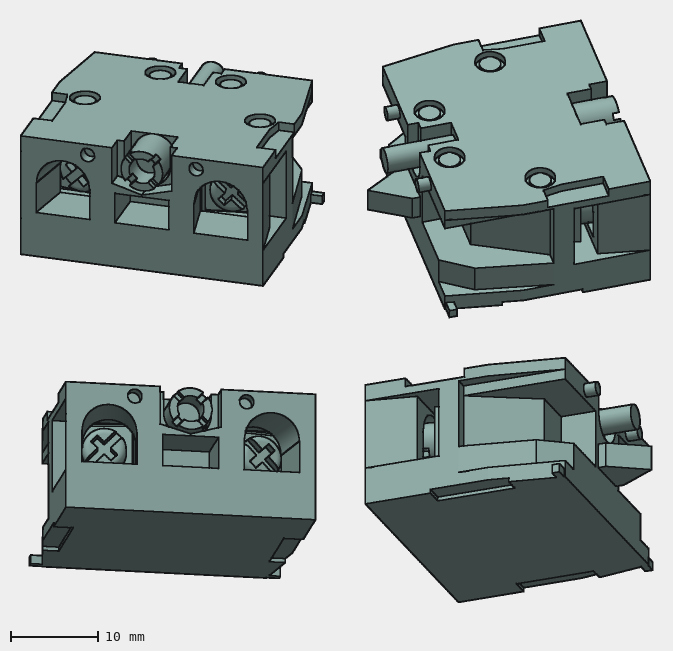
import cadquery as cq
import math

WIDTH = 29.0
BODY_LENGTH = 24.0
TOTAL_LENGTH = 29.5
HEIGHT = 15.0
HALF_WIDTH = WIDTH / 2

BASE_TOP = 2.05
LOWER_BLOCK_TOP = 5.3
UPPER_BLOCK_TOP = 12.3
BAND_TOP = 13.55
FRONT_BLOCK_LENGTH = 11.5
TAPER_START = 15.13
REAR_HALF_WIDTH = 13.0
LOWER_BLOCK_CORNER = (12.9, 20.4)
LOWER_BLOCK_REAR_HALF_WIDTH = 10.38
UPPER_BLOCK_HALF_WIDTH = 8.8
UPPER_BLOCK_REAR_Y = 19.76
REAR_WEB_HALF_WIDTH = 3.57

ARROW_HALF_WIDTH = 2.77
ARROW_SHOULDER_Y = 24.95
ARROW_BOTTOM = 5.52
ARROW_HEIGHT = 2.95
EAR_REAR_Y = 23.9
EAR_LENGTH = 0.9
EAR_HEIGHT = 1.03
PIN_X = 6.5
PIN_Z = 13.65
PIN_DIAMETER = 1.6
PIN_LENGTH = 1.45
PIN_SOCKET_DIAMETER = 1.65

RIVET_CENTRES = [(4.22, 20.95), (10.47, 11.95)]
RIVET_DIAMETER = 2.48
RIVET_RECESS_DIAMETER = 3.48
RIVET_SINK = 0.32
RIVET_RECESS_DEPTH = 0.88

TOP_NOTCH_FRONT = 4.95
TOP_NOTCH_BEND = 9.95
TOP_NOTCH_REAR = 12.18
TOP_NOTCH_WIDTH = 2.27
TOP_NOTCH_REAR_WIDTH = 1.85
TOP_NOTCH_DEPTH = 1.03
BASE_NOTCH_FRONT = 8.02
BASE_NOTCH_REAR = 17.5
BASE_NOTCH_DEPTH = 0.47

POCKET_WIDTH = 6.45
POCKET_BOTTOM = 5.55
POCKET_HEIGHT = 3.72
POCKET_DEPTH = 6.0

PLUNGER_Z = 12.5
HEAD_RADIUS = 2.48
HEAD_LENGTH = 4.95
HEAD_BORE_RADIUS = 1.53
HEAD_BORE_DEPTH = 2.95
HEAD_SLOT_WIDTH = 0.77
HEAD_SLOT_DEPTH = 0.77
ROD_RADIUS = 1.48
ROD_END_Y = 27.5
HEAD_CHANNEL_RADIUS = 2.77
ROD_CHANNEL_RADIUS = 1.53
ROD_CHANNEL_START = 19.15
REAR_CHANNEL_RADIUS = 2.55
REAR_CHANNEL_START = 22.75
V_CHANNEL_HALF_WIDTH = 3.57
V_CHANNEL_EDGE_Z = 10.5
V_CHANNEL_APEX_Z = 9.5
V_CHANNEL_LENGTH = 2.12

TERMINAL_TILT = 10.0
TUNNEL_MOUTH_X = 9.45
TUNNEL_HALF_WIDTH = 3.22
ARCH_HALF_WIDTH = 3.15
TUNNEL_FLOOR = 5.55
ARCH_START_Z = 9.3
ARCH_TOP_Z = 12.5
CHAMBER_FRONT = 6.0
CHAMBER_REAR = 9.05
CHAMBER_INNER_X = 5.3
CHAMBER_BOTTOM = 4.5
CHAMBER_TOP = 12.98
SCREW_X = 8.82
SCREW_SEAT_Y = 7.0
SCREW_Z = 8.75
SCREW_HEAD_RADIUS = 2.55
SCREW_HEAD_HEIGHT = 2.15
SCREW_HEAD_ROUNDING = 0.83
SCREW_SLOT_WIDTH = 1.03
SCREW_SLOT_DEPTH = 1.2
SCREW_CROSS_SLOT_LENGTH = 3.25
SCREW_SHANK_RADIUS = 1.18
SCREW_SHANK_LENGTH = 4.13
CLAMP_SIZE = 6.45
CLAMP_THICKNESS = 1.0
WASHER_SIZE = 7.58
WASHER_THICKNESS = 0.35
SLOT_ANGLE = 45.0


def block(x_range, y_range, z_range):
    """Box between two limits on each axis."""
    size = [high - low for low, high in (x_range, y_range, z_range)]
    return cq.Workplane("XY").box(*size, centered=False).translate((x_range[0], y_range[0], z_range[0]))


def both_sides(shape):
    """The shape together with its mirror image across X = 0."""
    return shape.union(shape.mirror("YZ"))


def rod(radius, start_y, end_y, x=0.0, z=0.0):
    """Cylinder along Y."""
    profile = cq.Workplane("XZ", origin=(x, start_y, z)).circle(radius)
    return profile.extrude(start_y - end_y)


def layer(right_edge, bottom, top):
    """Slab symmetric about X = 0, from the points of its +X edge."""
    left_edge = [(-x, y) for x, y in reversed(right_edge)]
    plane = cq.Workplane("XY", origin=(0, 0, bottom))
    return plane.polyline(right_edge + left_edge).close().extrude(top - bottom)


def stacked_body():
    front = [(HALF_WIDTH, 0), (HALF_WIDTH, FRONT_BLOCK_LENGTH)]
    plate = [(HALF_WIDTH, 0), (HALF_WIDTH, TAPER_START), (REAR_HALF_WIDTH, BODY_LENGTH)]
    lower_block = front + [LOWER_BLOCK_CORNER, (LOWER_BLOCK_REAR_HALF_WIDTH, BODY_LENGTH)]
    step = front + [(REAR_HALF_WIDTH, FRONT_BLOCK_LENGTH)]
    upper_block = step + [
        (UPPER_BLOCK_HALF_WIDTH, UPPER_BLOCK_REAR_Y),
        (REAR_WEB_HALF_WIDTH, UPPER_BLOCK_REAR_Y),
        (REAR_WEB_HALF_WIDTH, BODY_LENGTH),
    ]
    band = step + [(REAR_HALF_WIDTH, BODY_LENGTH)]
    body = layer(plate, 0, BASE_TOP)
    body = body.union(layer(lower_block, BASE_TOP, LOWER_BLOCK_TOP))
    body = body.union(layer(upper_block, LOWER_BLOCK_TOP, UPPER_BLOCK_TOP))
    body = body.union(layer(band, UPPER_BLOCK_TOP, BAND_TOP))
    return body.union(layer(plate, BAND_TOP, HEIGHT))


def rear_arrow():
    outline = [
        (ARROW_HALF_WIDTH, BODY_LENGTH),
        (ARROW_HALF_WIDTH, ARROW_SHOULDER_Y),
        (0, TOTAL_LENGTH),
        (-ARROW_HALF_WIDTH, ARROW_SHOULDER_Y),
        (-ARROW_HALF_WIDTH, BODY_LENGTH),
    ]
    return cq.Workplane("XY", origin=(0, 0, ARROW_BOTTOM)).polyline(outline).close().extrude(ARROW_HEIGHT)


def rear_ears():
    """Bar across the base whose two ends stand out past the tapered sides."""
    return block((-HALF_WIDTH, HALF_WIDTH), (EAR_REAR_Y - EAR_LENGTH, EAR_REAR_Y), (0, EAR_HEIGHT))


def locating_pins():
    return both_sides(rod(PIN_DIAMETER / 2, BODY_LENGTH, BODY_LENGTH + PIN_LENGTH, PIN_X, PIN_Z))


def pin_sockets():
    return both_sides(rod(PIN_SOCKET_DIAMETER / 2, 0, PIN_LENGTH, PIN_X, PIN_Z))


def rivet_recesses():
    """Ring-shaped recesses that leave each rivet head a little below the top face."""
    plane = cq.Workplane("XY", origin=(0, 0, HEIGHT)).pushPoints(RIVET_CENTRES)
    recess = plane.circle(RIVET_RECESS_DIAMETER / 2).extrude(-RIVET_RECESS_DEPTH)
    floor = cq.Workplane("XY", origin=(0, 0, HEIGHT - RIVET_RECESS_DEPTH)).pushPoints(RIVET_CENTRES)
    rivet = floor.circle(RIVET_DIAMETER / 2).extrude(RIVET_RECESS_DEPTH - RIVET_SINK)
    return both_sides(recess.cut(rivet))


def side_notches():
    inner = HALF_WIDTH - TOP_NOTCH_WIDTH
    outline = [
        (HALF_WIDTH, TOP_NOTCH_FRONT),
        (inner, TOP_NOTCH_FRONT),
        (inner, TOP_NOTCH_BEND),
        (HALF_WIDTH - TOP_NOTCH_REAR_WIDTH, TOP_NOTCH_REAR),
        (HALF_WIDTH, TOP_NOTCH_REAR),
    ]
    top = cq.Workplane("XY", origin=(0, 0, HEIGHT)).polyline(outline).close().extrude(-TOP_NOTCH_DEPTH)
    base = block((inner, HALF_WIDTH), (BASE_NOTCH_FRONT, BASE_NOTCH_REAR), (0, BASE_NOTCH_DEPTH))
    return both_sides(top.union(base))


def front_pocket():
    return block(
        (-POCKET_WIDTH / 2, POCKET_WIDTH / 2),
        (0, POCKET_DEPTH),
        (POCKET_BOTTOM, POCKET_BOTTOM + POCKET_HEIGHT),
    )


def open_channel(radius, start_y, end_y):
    """Round-bottomed channel around the plunger axis, open to the top face."""
    upper = block((-radius, radius), (start_y, end_y), (PLUNGER_Z, HEIGHT))
    return upper.union(rod(radius, start_y, end_y, z=PLUNGER_Z))


def plunger_channels():
    v_outline = [
        (V_CHANNEL_HALF_WIDTH, HEIGHT),
        (V_CHANNEL_HALF_WIDTH, V_CHANNEL_EDGE_Z),
        (0, V_CHANNEL_APEX_Z),
        (-V_CHANNEL_HALF_WIDTH, V_CHANNEL_EDGE_Z),
        (-V_CHANNEL_HALF_WIDTH, HEIGHT),
    ]
    channels = cq.Workplane("XZ").polyline(v_outline).close().extrude(-V_CHANNEL_LENGTH)
    channels = channels.union(open_channel(HEAD_CHANNEL_RADIUS, 0, HEAD_LENGTH))
    channels = channels.union(open_channel(ROD_CHANNEL_RADIUS, ROD_CHANNEL_START, BODY_LENGTH))
    channels = channels.union(open_channel(REAR_CHANNEL_RADIUS, REAR_CHANNEL_START, BODY_LENGTH))
    return channels.union(rod(ROD_RADIUS, HEAD_LENGTH, ROD_CHANNEL_START, z=PLUNGER_Z))


def terminal_tunnel():
    """Arched tunnel on the +X side, leaning towards the middle as it goes in."""
    lean = math.tan(math.radians(TERMINAL_TILT)) * CHAMBER_FRONT
    mouth = (
        cq.Workplane("XZ", origin=(TUNNEL_MOUTH_X, 0, 0))
        .moveTo(-TUNNEL_HALF_WIDTH, TUNNEL_FLOOR)
        .lineTo(TUNNEL_HALF_WIDTH, TUNNEL_FLOOR)
        .lineTo(TUNNEL_HALF_WIDTH, ARCH_START_Z)
        .lineTo(ARCH_HALF_WIDTH, ARCH_START_Z)
        .threePointArc((0, ARCH_TOP_Z), (-ARCH_HALF_WIDTH, ARCH_START_Z))
        .lineTo(-TUNNEL_HALF_WIDTH, ARCH_START_Z)
        .close()
    )
    tunnel = cq.Solid.extrudeLinear(mouth.val(), [], cq.Vector(-lean, CHAMBER_FRONT, 0))
    return cq.Workplane(tunnel)


def terminal_chamber():
    """Chamber on the +X side, open to the side along a face that follows the tunnel."""
    lean = math.tan(math.radians(TERMINAL_TILT)) * CHAMBER_FRONT
    outline = [
        (HALF_WIDTH, 0),
        (HALF_WIDTH, CHAMBER_REAR),
        (CHAMBER_INNER_X, CHAMBER_REAR),
        (CHAMBER_INNER_X, CHAMBER_FRONT),
        (HALF_WIDTH - lean, CHAMBER_FRONT),
    ]
    floor = cq.Workplane("XY", origin=(0, 0, CHAMBER_BOTTOM))
    return floor.polyline(outline).close().extrude(CHAMBER_TOP - CHAMBER_BOTTOM)


def terminal_screw():
    """Screw on the +X side with its square clamp and washer, rooted in the chamber's rear wall."""
    head = rod(SCREW_HEAD_RADIUS, -SCREW_HEAD_HEIGHT, 0)
    head = head.faces("<Y").edges().fillet(SCREW_HEAD_ROUNDING)
    slot_y = (-SCREW_HEAD_HEIGHT, SCREW_SLOT_DEPTH - SCREW_HEAD_HEIGHT)
    slot_side = (-SCREW_SLOT_WIDTH / 2, SCREW_SLOT_WIDTH / 2)
    long_slot = block((-SCREW_HEAD_RADIUS, SCREW_HEAD_RADIUS), slot_y, slot_side)
    cross_slot = block(slot_side, slot_y, (-SCREW_CROSS_SLOT_LENGTH / 2, SCREW_CROSS_SLOT_LENGTH / 2))
    head = head.cut(long_slot).cut(cross_slot).rotate((0, 0, 0), (0, 1, 0), SLOT_ANGLE)
    clamp = cq.Workplane("XZ").rect(CLAMP_SIZE, CLAMP_SIZE).extrude(-CLAMP_THICKNESS)
    washer = clamp.faces(">Y").workplane().rect(WASHER_SIZE, WASHER_SIZE).extrude(WASHER_THICKNESS)
    shank = rod(SCREW_SHANK_RADIUS, 0, SCREW_SHANK_LENGTH)
    screw = head.union(washer).union(shank)
    screw = screw.rotate((0, 0, 0), (0, 0, 1), TERMINAL_TILT)
    return screw.translate((SCREW_X, SCREW_SEAT_Y, SCREW_Z))


def make_housing():
    body = stacked_body().union(rear_arrow()).union(rear_ears()).union(locating_pins())
    for cutter in (pin_sockets(), rivet_recesses(), side_notches(), front_pocket(), plunger_channels()):
        body = body.cut(cutter)
    body = body.cut(both_sides(terminal_tunnel().union(terminal_chamber())))
    screw = terminal_screw()
    return body.union(screw).union(screw.mirror("YZ"))


def make_plunger():
    """Slotted, hollow-ended head with a long rod behind it."""
    plunger = rod(HEAD_RADIUS, 0, HEAD_LENGTH).union(rod(ROD_RADIUS, HEAD_LENGTH, ROD_END_Y))
    plunger = plunger.cut(rod(HEAD_BORE_RADIUS, 0, HEAD_BORE_DEPTH))
    across = (-HEAD_RADIUS, HEAD_RADIUS)
    side = (-HEAD_SLOT_WIDTH / 2, HEAD_SLOT_WIDTH / 2)
    plunger = plunger.cut(block(across, (0, HEAD_SLOT_DEPTH), side))
    plunger = plunger.cut(block(side, (0, HEAD_SLOT_DEPTH), across))
    return plunger.rotate((0, 0, 0), (0, 1, 0), SLOT_ANGLE).translate((0, 0, PLUNGER_Z))


housing = make_housing()
plunger = make_plunger()
result = cq.Compound.makeCompound([housing.val(), plunger.val()])